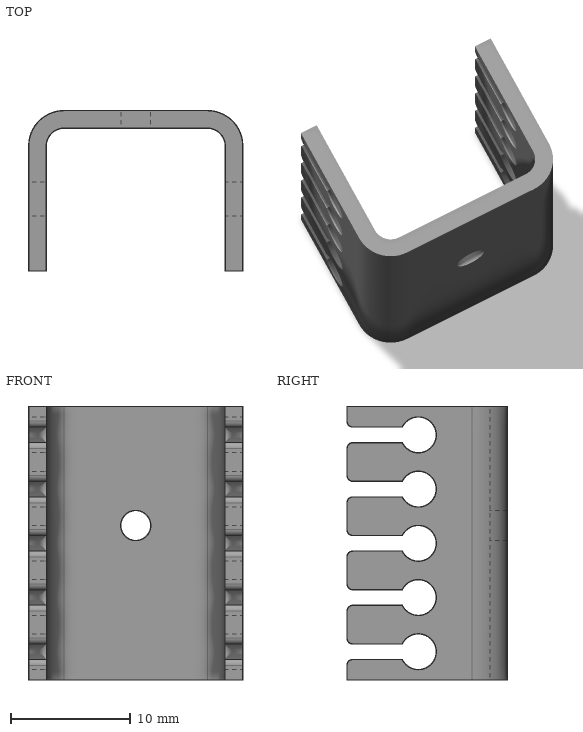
import cadquery as cq

width = 18.0
depth = 13.5
height = 23.0
thickness = 1.5
outer_bend_radius = 2 * thickness
inner_bend_radius = outer_bend_radius - thickness

back_hole_diameter = 2.5
back_hole_height = 1.5

slot_count = 5
slot_pitch = 4.55
slot_width = 1.29
keyhole_diameter = 3.0
keyhole_inset = 6.0
mouth_radius = 0.5

open_edge_y = -depth / 2
back_y = depth / 2


def make_channel():
    outer = (
        cq.Workplane("XY")
        .box(width, depth, height)
        .edges("|Z and >Y")
        .fillet(outer_bend_radius)
    )
    inner = (
        cq.Workplane("XY")
        .box(width - 2 * thickness, depth, height)
        .edges("|Z and >Y")
        .fillet(inner_bend_radius)
        .translate((0, -thickness, 0))
    )
    return outer.cut(inner)


def make_keyhole(center_z):
    """Round hole with a slot to the open edge, rounded at its mouth."""
    center_y = open_edge_y + keyhole_inset
    half_slot = slot_width / 2
    half_mouth = half_slot + mouth_radius
    mouth_y = open_edge_y + mouth_radius
    hole = (
        cq.Workplane("YZ")
        .center(center_y, center_z)
        .circle(keyhole_diameter / 2)
        .extrude(width, both=True)
    )
    slot = (
        cq.Workplane("YZ")
        .center(0, center_z)
        .moveTo(center_y, -half_slot)
        .lineTo(mouth_y, -half_slot)
        .radiusArc((open_edge_y, -half_mouth), -mouth_radius)
        .lineTo(open_edge_y, half_mouth)
        .radiusArc((mouth_y, half_slot), -mouth_radius)
        .lineTo(center_y, half_slot)
        .close()
        .extrude(width, both=True)
    )
    return hole.union(slot)


def make_back_hole():
    return (
        cq.Workplane("XZ", origin=(0, back_y, back_hole_height))
        .circle(back_hole_diameter / 2)
        .extrude(2 * thickness, both=True)
    )


result = make_channel().cut(make_back_hole())
for index in range(slot_count):
    slot_z = (index - (slot_count - 1) / 2) * slot_pitch
    result = result.cut(make_keyhole(slot_z))